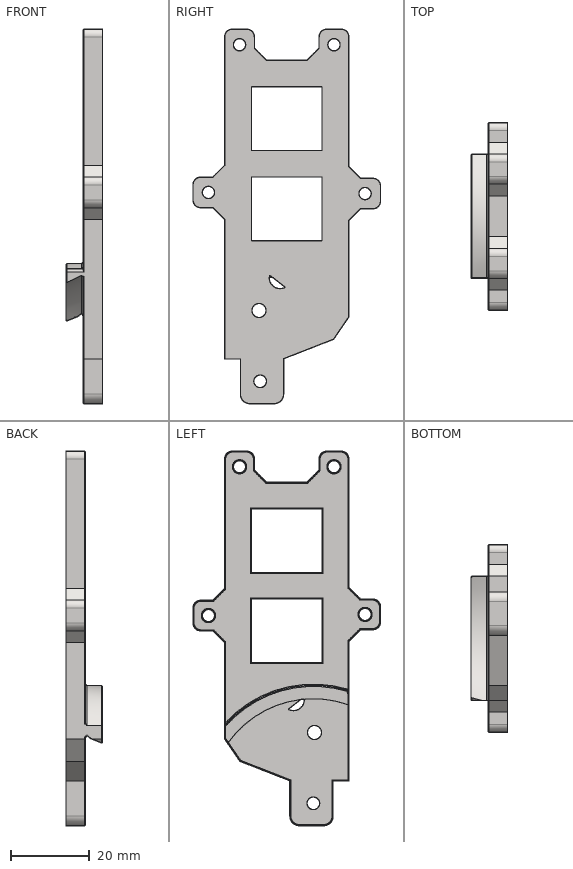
import cadquery as cq
import math

plate_thickness = 5.1
height = 95.3
body_half_width = 15.8
edge_chamfer = 0.3
tab_corner_radius = 2.0
tail_corner_radius = 2.5

fork_tab_width = 7.6
fork_inner_y = body_half_width - fork_tab_width
notch_floor_half_width = 5.15
notch_floor_z = 87.4
notch_flare_z = notch_floor_z + fork_inner_y - notch_floor_half_width

ear_span = 47.8
ear_tip_y = ear_span / 2
ear_height = 7.8
ear_flare = 3.0
ear_inner_y = body_half_width + ear_flare
left_ear_z = 53.5
right_ear_z = 53.8

slant_top_z = 22.1
slant_knee_y = 11.9
slant_knee_z = 16.4
slant_bottom_z = 11.4
shoulder_z = 11.3
tail_left_y = -0.8
tail_right_y = -11.8

window_width = 17.9
window_height = 16.1
window_centers_z = (72.6, 49.6)

mount_hole_diameter = 3.05
fork_hole_y = 12.0
fork_hole_z = 91.3
ear_hole_y = 19.9
stop_hole_diameter = 3.5
stop_hole_y = -7.1
stop_hole_z = 23.7
pivot_hole_diameter = 3.1
pivot_y = -6.8
pivot_z = 5.7

opening_y = -2.4
opening_z = 31.2
opening_half_length = 2.5
opening_depth = 1.6
opening_tilt_degrees = 142
opening_tilt = math.radians(opening_tilt_degrees)

rib_projection = 4.3
rib_outer_radius = 30.0
rib_inner_radius = 26.6
rib_root_inner_radius = 28.4
rib_root_bevel = 0.3
rib_end_drop = 0.8


def ear_points(side, center_z):
    """Ear outline from its upper root to its lower root; side is +1 or -1."""
    top_z = center_z + ear_height / 2
    bottom_z = center_z - ear_height / 2
    return [
        (side * body_half_width, top_z + ear_flare),
        (side * ear_inner_y, top_z),
        (side * ear_tip_y, top_z),
        (side * ear_tip_y, bottom_z),
        (side * ear_inner_y, bottom_z),
        (side * body_half_width, bottom_z - ear_flare),
    ]


left_ear = ear_points(1, left_ear_z)
right_ear = ear_points(-1, right_ear_z)

outline = [
    (-body_half_width, height),
    (-fork_inner_y, height),
    (-fork_inner_y, notch_flare_z),
    (-notch_floor_half_width, notch_floor_z),
    (notch_floor_half_width, notch_floor_z),
    (fork_inner_y, notch_flare_z),
    (fork_inner_y, height),
    (body_half_width, height),
    *left_ear,
    (body_half_width, slant_top_z),
    (slant_knee_y, slant_knee_z),
    (tail_left_y, slant_bottom_z),
    (tail_left_y, 0),
    (tail_right_y, 0),
    (tail_right_y, shoulder_z),
    (-body_half_width, shoulder_z),
    *reversed(right_ear),
]

fork_corner_ys = (-body_half_width, -fork_inner_y, fork_inner_y, body_half_width)
corner_radii = [
    *[(y, height, tab_corner_radius) for y in fork_corner_ys],
    *[(y, z, tab_corner_radius) for y, z in left_ear[2:4] + right_ear[2:4]],
    *[(y, 0, tail_corner_radius) for y in (tail_left_y, tail_right_y)],
]


def outline_block(front_x, back_x):
    """Solid of the plate outline between two X positions, with rounded tab corners."""
    sketch = cq.Workplane("YZ", origin=(front_x, 0, 0)).polyline(outline).close()
    block = sketch.extrude(back_x - front_x)
    middle_x = (front_x + back_x) / 2
    for y, z, radius in corner_radii:
        corner = cq.selectors.NearestToPointSelector((middle_x, y, z))
        block = block.edges("|X").edges(corner).fillet(radius)
    return block


def front_sketch(points):
    """Sketch on the plate front face with the given (Y, Z) points selected."""
    return cq.Workplane("YZ").pushPoints(points)


def make_plate():
    """Plate with its windows, holes and broken front edges."""
    plate = outline_block(0, plate_thickness)
    windows = front_sketch([(0, z) for z in window_centers_z]).rect(window_width, window_height)
    plate = plate.cut(windows.extrude(plate_thickness))
    mount_points = [
        (fork_hole_y, fork_hole_z),
        (-fork_hole_y, fork_hole_z),
        (ear_hole_y, left_ear_z),
        (-ear_hole_y, right_ear_z),
    ]
    mount_holes = front_sketch(mount_points).circle(mount_hole_diameter / 2)
    plate = plate.cut(mount_holes.extrude(plate_thickness))
    plate = plate.faces("<X").edges().chamfer(edge_chamfer)
    for y, z, diameter in (
        (stop_hole_y, stop_hole_z, stop_hole_diameter),
        (pivot_y, pivot_z, pivot_hole_diameter),
    ):
        plate = plate.cut(front_sketch([(y, z)]).circle(diameter / 2).extrude(plate_thickness))
    return plate.cut(make_opening())


def make_opening():
    """Cutter for the D-shaped opening."""
    along_y = opening_half_length * math.cos(opening_tilt)
    along_z = opening_half_length * math.sin(opening_tilt)
    arc_middle = (
        opening_y - opening_depth * math.sin(opening_tilt),
        opening_z + opening_depth * math.cos(opening_tilt),
    )
    return (
        cq.Workplane("YZ")
        .moveTo(opening_y - along_y, opening_z - along_z)
        .threePointArc(arc_middle, (opening_y + along_y, opening_z + along_z))
        .close()
        .extrude(plate_thickness)
    )


def make_rib():
    """Arc rib with an undercut inner face, trimmed flush with the plate outline."""
    front_x = -rib_projection
    root_x = edge_chamfer
    profile = [
        (front_x, rib_inner_radius),
        (front_x, rib_outer_radius - edge_chamfer),
        (front_x + edge_chamfer, rib_outer_radius),
        (-rib_root_bevel, rib_outer_radius),
        (0, rib_outer_radius + rib_root_bevel),
        (root_x, rib_outer_radius + rib_root_bevel),
        (root_x, rib_root_inner_radius - rib_root_bevel),
        (0, rib_root_inner_radius - rib_root_bevel),
        (-rib_root_bevel, rib_root_inner_radius),
    ]
    ring = (
        cq.Workplane("XZ", origin=(0, pivot_y, pivot_z))
        .polyline(profile)
        .close()
        .revolve(360, (0, 0, 0), (1, 0, 0))
    )
    trim = outline_block(front_x, root_x)
    end_z = pivot_z + math.sqrt(rib_outer_radius**2 - (body_half_width + pivot_y) ** 2)
    bevel = (
        cq.Workplane("YZ", origin=(front_x, 0, 0))
        .polyline([
            (-body_half_width, end_z - rib_end_drop),
            (-body_half_width, end_z + rib_end_drop),
            (-body_half_width + edge_chamfer, end_z + rib_end_drop),
            (-body_half_width + edge_chamfer, end_z),
        ])
        .close()
        .extrude(rib_projection + root_x)
    )
    trim = trim.cut(bevel).faces("<X").edges().chamfer(edge_chamfer)
    keep = (
        cq.Workplane("YZ", origin=(front_x, 0, shoulder_z))
        .rect(2 * body_half_width, rib_outer_radius, centered=(True, False))
        .extrude(rib_projection + root_x)
    )
    return ring.intersect(trim).intersect(keep)


result = make_plate().union(make_rib())